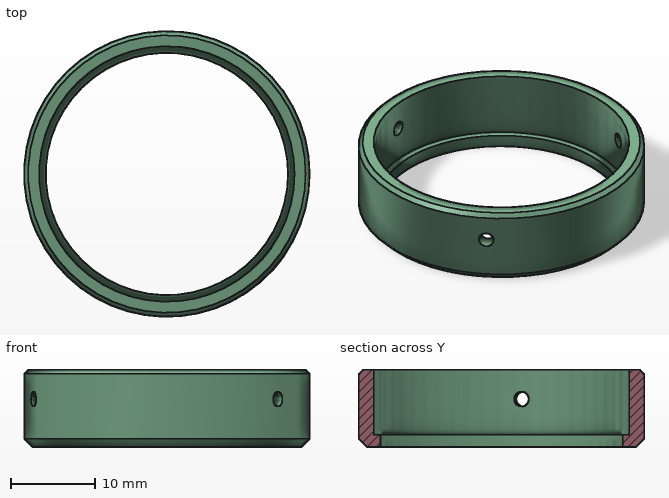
import cadquery as cq

outer_diameter = 34.0
height = 9.224
top_chamfer = 0.5
bottom_chamfer = 1.0

bore_diameter = 30.4
lip_diameter = 28.8
lip_height = 1.5

hole_diameter = 1.75
hole_count = 3
hole_depth_from_top = 3.5
first_hole_angle = 81.0


def ring_body():
    """Cylinder with both outer rims chamfered."""
    body = cq.Workplane("XY").circle(outer_diameter / 2).extrude(height)
    body = body.faces(">Z").edges().chamfer(top_chamfer)
    return body.faces("<Z").edges().chamfer(bottom_chamfer)


def stepped_bore():
    """Through bore with its wide part above the lip."""
    through = cq.Workplane("XY").circle(lip_diameter / 2).extrude(height)
    wide = cq.Workplane("XY", origin=(0, 0, lip_height)).circle(bore_diameter / 2)
    return through.union(wide.extrude(height - lip_height))


def radial_hole(angle):
    """Cutter running outward from the ring axis at the given angle."""
    hole = cq.Workplane("YZ", origin=(0, 0, height - hole_depth_from_top))
    hole = hole.circle(hole_diameter / 2).extrude(outer_diameter)
    return hole.rotate((0, 0, 0), (0, 0, 1), angle)


result = ring_body().cut(stepped_bore())
for index in range(hole_count):
    result = result.cut(radial_hole(first_hole_angle + index * 360 / hole_count))